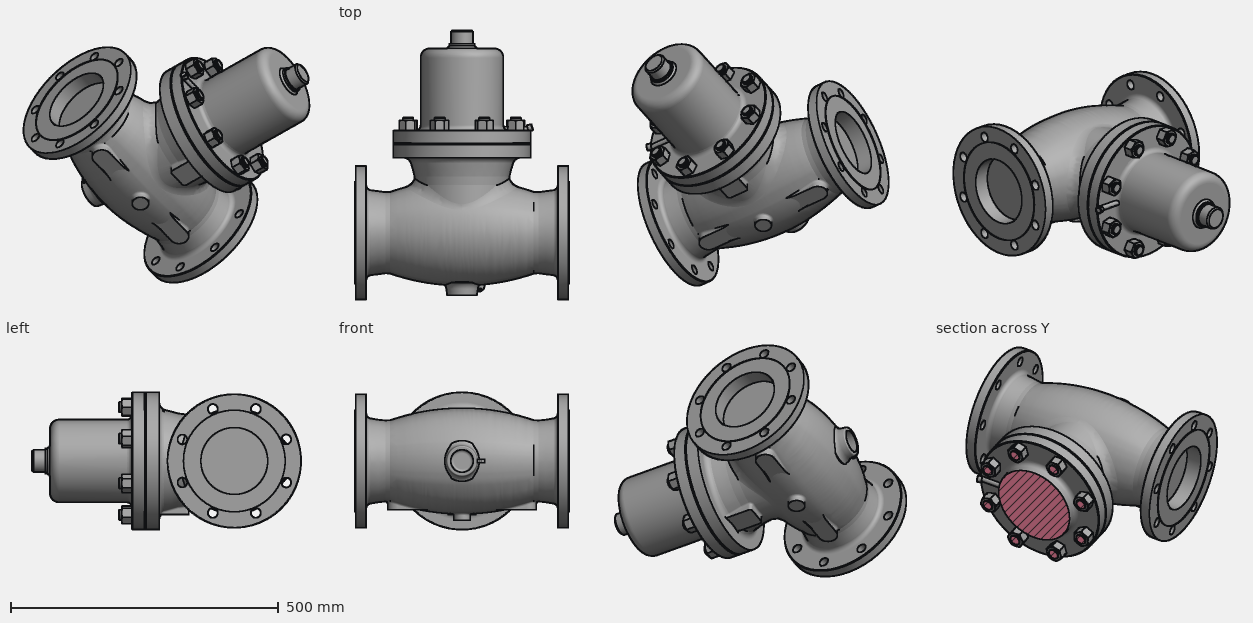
import cadquery as cq
import math

FACE_TO_FACE = 400.0
PIPE_FLANGE_DIAMETER = 250.0
PIPE_FLANGE_THICKNESS = 20.0
PIPE_FLANGE_CHAMFER = 1.3
RAISED_FACE_DIAMETER = 190.0
RAISED_FACE_HEIGHT = 1.5
PIPE_BOLT_CIRCLE = 210.0
PIPE_BOLT_HOLE = 18.0
BOLT_COUNT = 8
FIRST_BOLT_ANGLE = 180.0 / BOLT_COUNT
BORE_DIAMETER = 125.0
BORE_DEPTH = 30.0

BARREL_RADIUS = 99.0
BARREL_HALF_LENGTH = 134.0
BARREL_END_RADIUS = 76.5
WAIST_X = 143.0
WAIST_RADIUS = 76.0
HUB_X = 169.5
HUB_RADIUS = 79.5
HUB_FILLET = 9.0

BRANCH_DIAMETER = 174.0
BRANCH_CYLINDER_END_Y = 120.0
BRANCH_CONE_START_Y = 89.0
BRANCH_CONE_MID_Y = 105.0
BRANCH_CONE_MID_RADIUS = 89.0
BRANCH_CONE_END_Y = 131.0
BRANCH_CONE_END_RADIUS = 96.0
BRANCH_NECK_ARC = 15.0
BRANCH_FLARE_RADIUS = 109.5
BRANCH_FILLET = 26.0

BONNET_FLANGE_DIAMETER = 257.0
LOWER_FLANGE_Y = 140.0
LOWER_FLANGE_THICKNESS = 24.5
GASKET_GAP = 3.0
GASKET_DIAMETER = 190.0
UPPER_FLANGE_THICKNESS = 24.0
FLANGE_EDGE_CHAMFER = 1.5

CAP_DIAMETER = 155.0
CAP_TOP_Y = 344.5
CAP_TOP_FILLET = 17.5
CAP_FOOT_FILLET = 9.0
STEM_DIAMETER = 42.0
STEM_TOP_Y = 378.0
STEM_CHAMFER = 3.0
COLLAR_DIAMETER = 48.0
COLLAR_TOP_Y = 353.0
COLLAR_FOOT_DIAMETER = 56.0

STUD_CIRCLE = 218.0
STUD_DIAMETER = 20.0
STUD_CHAMFER = 1.5
STUD_PROTRUSION = 24.0
NUT_ACROSS_FLATS = 30.0
NUT_HEIGHT = 18.8
NUT_CHAMFER_ANGLE = 30.0
NUT_TWIST = 7.5

VENT_BAR_DIAMETER = 10.0
VENT_BAR_END_X = 124.0
VENT_BAR_AXIS_Y = 193.0
VENT_SCREW_DIAMETER = 12.5
VENT_SCREW_LENGTH = 9.0
VENT_SCREW_TILT = 17.0
VENT_SCREW_FACE_CENTER = (131.3, 197.3)
VENT_SCREW_CHAMFER = 1.0

DRAIN_END_Y = -117.0
DRAIN_BREAK_Y = -105.0
DRAIN_END_RADIUS = 28.0
DRAIN_BREAK_RADIUS = 29.5
DRAIN_FOOT_RADIUS = 38.0
DRAIN_FOOT_Y = -93.0
DRAIN_FOOT_ARC = 15.0
DRAIN_HOLE_DIAMETER = 42.0
DRAIN_HOLE_DEPTH = 18.0
DRAIN_FLOOR_FILLET = 6.0
DRAIN_RIM_FILLET = 2.0
DRAIN_LUG_RADIUS = 12.5
DRAIN_LUG_CENTER = (30.0, -98.0)
DRAIN_LUG_THICKNESS = 6.0
DRAIN_LUG_HOLE = 4.0
DRAIN_LUG_HOLE_CENTER = (34.0, -106.0)

CENTER_BOSS_DIAMETER = 31.0
CENTER_BOSS_BOTTOM_Z = -111.0
LINE_PAD_OUTER_X = 139.0
LINE_PAD_INNER_X = 60.0
LINE_PAD_HALF_WIDTH = 18.0
LINE_PAD_BOTTOM_Z = -91.5
BRANCH_PAD_HALF_WIDTH = 22.0
BRANCH_PAD_START_Y = 85.0
BRANCH_PAD_BOTTOM_Z = -100.0
BRANCH_PAD_CORNER = 5.5
PAD_FOOT_FILLET = 4.0

HALF_LENGTH = FACE_TO_FACE / 2
FLANGE_FACE_X = HALF_LENGTH - RAISED_FACE_HEIGHT
FLANGE_BACK_X = FLANGE_FACE_X - PIPE_FLANGE_THICKNESS
PIPE_FLANGE_RADIUS = PIPE_FLANGE_DIAMETER / 2
GASKET_Y = LOWER_FLANGE_Y + LOWER_FLANGE_THICKNESS
UPPER_FLANGE_Y = GASKET_Y + GASKET_GAP
UPPER_FLANGE_TOP_Y = UPPER_FLANGE_Y + UPPER_FLANGE_THICKNESS


def y_cylinder(diameter, start_y, end_y, x=0.0, z=0.0):
    """Cylinder along +Y whose axis passes through (x, z)."""
    axis_origin = cq.Vector(x, start_y, z)
    solid = cq.Solid.makeCylinder(diameter / 2, end_y - start_y, axis_origin, cq.Vector(0, 1, 0))
    return cq.Workplane(obj=solid)


def polar(circle_diameter, angle):
    """Point on a circle centred on the origin."""
    radius = circle_diameter / 2
    return radius * math.cos(math.radians(angle)), radius * math.sin(math.radians(angle))


def bolt_angles():
    return [FIRST_BOLT_ANGLE + 360.0 / BOLT_COUNT * i for i in range(BOLT_COUNT)]


def make_barrel():
    """Barrel, waists and hubs revolved about X."""
    hub_root_radius = HUB_RADIUS + HUB_FILLET
    outline = (
        cq.Workplane("XY")
        .moveTo(-FLANGE_BACK_X, 0)
        .lineTo(-FLANGE_BACK_X, hub_root_radius)
        .radiusArc((-HUB_X, HUB_RADIUS), -(FLANGE_BACK_X - HUB_X))
        .lineTo(-WAIST_X, WAIST_RADIUS)
        .lineTo(-BARREL_HALF_LENGTH, BARREL_END_RADIUS)
        .threePointArc((0, BARREL_RADIUS), (BARREL_HALF_LENGTH, BARREL_END_RADIUS))
        .lineTo(WAIST_X, WAIST_RADIUS)
        .lineTo(HUB_X, HUB_RADIUS)
        .radiusArc((FLANGE_BACK_X, hub_root_radius), -(FLANGE_BACK_X - HUB_X))
        .lineTo(FLANGE_BACK_X, 0)
        .close()
    )
    return outline.revolve(360, (0, 0, 0), (1, 0, 0))


def make_branch_neck():
    """Widening neck from the branch cylinder to the bonnet flange, revolved about Y."""
    outline = (
        cq.Workplane("XY")
        .moveTo(0, BRANCH_CONE_START_Y)
        .lineTo(BRANCH_DIAMETER / 2, BRANCH_CONE_START_Y)
        .lineTo(BRANCH_CONE_MID_RADIUS, BRANCH_CONE_MID_Y)
        .lineTo(BRANCH_CONE_END_RADIUS, BRANCH_CONE_END_Y)
        .radiusArc((BRANCH_FLARE_RADIUS, LOWER_FLANGE_Y), BRANCH_NECK_ARC)
        .lineTo(0, LOWER_FLANGE_Y)
        .close()
    )
    return outline.revolve(360, (0, 0, 0), (0, 1, 0))


def make_body():
    """Barrel and branch cylinder with a fillet along their saddle-shaped seam, then the neck."""
    branch = y_cylinder(BRANCH_DIAMETER, 0, BRANCH_CYLINDER_END_Y)
    body = make_barrel().union(branch)
    return body.edges("%BSPLINE").fillet(BRANCH_FILLET).union(make_branch_neck())


def make_pipe_flange(side):
    """Pipe flange with raised face; side is -1 or +1 along X."""
    plane = cq.Workplane("YZ", origin=(side * FLANGE_BACK_X, 0, 0))
    disc = plane.circle(PIPE_FLANGE_RADIUS).extrude(side * PIPE_FLANGE_THICKNESS)
    back_face = "<X" if side > 0 else ">X"
    disc = disc.faces(back_face).edges().chamfer(PIPE_FLANGE_CHAMFER)
    holes = plane.polarArray(PIPE_BOLT_CIRCLE / 2, FIRST_BOLT_ANGLE, 360, BOLT_COUNT)
    disc = disc.cut(holes.circle(PIPE_BOLT_HOLE / 2).extrude(side * PIPE_FLANGE_THICKNESS))
    face_plane = cq.Workplane("YZ", origin=(side * FLANGE_FACE_X, 0, 0))
    raised_face = face_plane.circle(RAISED_FACE_DIAMETER / 2).extrude(side * RAISED_FACE_HEIGHT)
    return disc.union(raised_face)


def make_bore(side):
    """Blind pipe bore cut from one flange face."""
    plane = cq.Workplane("YZ", origin=(side * HALF_LENGTH, 0, 0))
    return plane.circle(BORE_DIAMETER / 2).extrude(-side * BORE_DEPTH)


def make_bonnet():
    """Bonnet flange pair, gasket, cap, collar and stem along +Y."""
    lower = y_cylinder(BONNET_FLANGE_DIAMETER, LOWER_FLANGE_Y, GASKET_Y)
    gasket = y_cylinder(GASKET_DIAMETER, GASKET_Y, UPPER_FLANGE_Y)
    upper = y_cylinder(BONNET_FLANGE_DIAMETER, UPPER_FLANGE_Y, UPPER_FLANGE_TOP_Y)
    upper = upper.faces(">Y").edges().chamfer(FLANGE_EDGE_CHAMFER)
    cap = y_cylinder(CAP_DIAMETER, UPPER_FLANGE_TOP_Y, CAP_TOP_Y)
    cap = cap.faces(">Y").edges().fillet(CAP_TOP_FILLET)
    foot = cq.selectors.RadiusNthSelector(0)
    cover = upper.union(cap)
    cover = cover.faces(cq.selectors.NearestToPointSelector((0, UPPER_FLANGE_TOP_Y, CAP_DIAMETER / 2 + 10)))
    cover = cover.edges(foot).fillet(CAP_FOOT_FILLET)
    stem = y_cylinder(STEM_DIAMETER, CAP_TOP_Y, STEM_TOP_Y).faces(">Y").edges().chamfer(STEM_CHAMFER)
    return lower.union(gasket).union(cover).union(make_collar()).union(stem)


def make_collar():
    """Flared collar around the stem foot, revolved about Y."""
    flare_top_y = COLLAR_TOP_Y - (COLLAR_FOOT_DIAMETER - COLLAR_DIAMETER) / 2
    outline = (
        cq.Workplane("XY")
        .moveTo(0, CAP_TOP_Y)
        .lineTo(COLLAR_FOOT_DIAMETER / 2, CAP_TOP_Y)
        .lineTo(COLLAR_DIAMETER / 2, flare_top_y)
        .lineTo(COLLAR_DIAMETER / 2, COLLAR_TOP_Y)
        .lineTo(0, COLLAR_TOP_Y)
        .close()
    )
    return outline.revolve(360, (0, 0, 0), (0, 1, 0))


def make_nut():
    """Hex nut along +Y from the XZ plane, its top corners trimmed by a cone; one corner on +X."""
    corner_radius = NUT_ACROSS_FLATS / 2 / math.cos(math.radians(30))
    prism = cq.Workplane("XZ").polygon(6, 2 * corner_radius).extrude(-NUT_HEIGHT)
    corner_drop = (corner_radius - NUT_ACROSS_FLATS / 2) * math.tan(math.radians(NUT_CHAMFER_ANGLE))
    envelope = (
        cq.Workplane("XY")
        .lineTo(corner_radius, 0)
        .lineTo(corner_radius, NUT_HEIGHT - corner_drop)
        .lineTo(NUT_ACROSS_FLATS / 2, NUT_HEIGHT)
        .lineTo(0, NUT_HEIGHT)
        .close()
        .revolve(360, (0, 0, 0), (0, 1, 0))
    )
    return prism.intersect(envelope)


def make_fastener(angle):
    """Stud end with its nut on the bonnet flange; angle runs from +X toward +Z."""
    stud = y_cylinder(STUD_DIAMETER, 0, STUD_PROTRUSION).faces(">Y").edges().chamfer(STUD_CHAMFER)
    fastener = make_nut().union(stud)
    fastener = fastener.rotate((0, 0, 0), (0, 1, 0), -(angle + NUT_TWIST))
    x, z = polar(STUD_CIRCLE, angle)
    return fastener.translate((x, UPPER_FLANGE_TOP_Y, z))


def make_vent_screw():
    """Half-sunk bar across the bonnet flange, ending in a tilted screw head."""
    bar = cq.Workplane("YZ").center(VENT_BAR_AXIS_Y, 0).circle(VENT_BAR_DIAMETER / 2).extrude(VENT_BAR_END_X)
    tilt = math.radians(VENT_SCREW_TILT)
    face_x, face_y = VENT_SCREW_FACE_CENTER
    head_plane = cq.Plane(
        origin=(face_x, face_y, 0), xDir=(0, 0, 1), normal=(-math.cos(tilt), -math.sin(tilt), 0)
    )
    head = cq.Workplane(head_plane).circle(VENT_SCREW_DIAMETER / 2).extrude(VENT_SCREW_LENGTH)
    return bar.union(head.faces(">X").edges().chamfer(VENT_SCREW_CHAMFER))


def make_drain_boss():
    """Tapered drain boss on -Y with a flared foot sunk into the barrel."""
    outline = (
        cq.Workplane("XY")
        .moveTo(0, -BARREL_RADIUS / 2)
        .lineTo(DRAIN_FOOT_RADIUS, -BARREL_RADIUS / 2)
        .lineTo(DRAIN_FOOT_RADIUS, DRAIN_FOOT_Y)
        .radiusArc((DRAIN_BREAK_RADIUS, DRAIN_BREAK_Y), -DRAIN_FOOT_ARC)
        .lineTo(DRAIN_END_RADIUS, DRAIN_END_Y)
        .lineTo(0, DRAIN_END_Y)
        .close()
    )
    boss = outline.revolve(360, (0, 0, 0), (0, 1, 0))
    return boss.faces("<Y").edges().fillet(DRAIN_RIM_FILLET)


def make_drain_hole():
    """Blind round-cornered hole in the drain boss."""
    hole = y_cylinder(DRAIN_HOLE_DIAMETER, DRAIN_END_Y, DRAIN_END_Y + DRAIN_HOLE_DEPTH)
    return hole.faces(">Y").edges().fillet(DRAIN_FLOOR_FILLET)


def make_drain_lug():
    """Flat round lug with a sealing hole beside the drain boss."""
    plane = cq.Workplane("XY", origin=(0, 0, -DRAIN_LUG_THICKNESS / 2))
    lug = plane.center(*DRAIN_LUG_CENTER).circle(DRAIN_LUG_RADIUS).extrude(DRAIN_LUG_THICKNESS)
    hole = plane.center(*DRAIN_LUG_HOLE_CENTER).circle(DRAIN_LUG_HOLE / 2).extrude(DRAIN_LUG_THICKNESS)
    return lug.cut(hole)


def make_center_boss():
    """Round boss under the middle of the barrel."""
    plane = cq.Workplane("XY", origin=(0, 0, CENTER_BOSS_BOTTOM_Z))
    return plane.circle(CENTER_BOSS_DIAMETER / 2).extrude(-CENTER_BOSS_BOTTOM_Z)


def make_line_pad(side):
    """Pad under one barrel end, its outer end fully rounded; side is -1 or +1 along X."""
    inner_x = side * LINE_PAD_INNER_X
    arc_start_x = side * (LINE_PAD_OUTER_X - LINE_PAD_HALF_WIDTH)
    outline = (
        cq.Workplane("XY", origin=(0, 0, LINE_PAD_BOTTOM_Z))
        .moveTo(inner_x, -LINE_PAD_HALF_WIDTH)
        .lineTo(arc_start_x, -LINE_PAD_HALF_WIDTH)
        .threePointArc((side * LINE_PAD_OUTER_X, 0), (arc_start_x, LINE_PAD_HALF_WIDTH))
        .lineTo(inner_x, LINE_PAD_HALF_WIDTH)
        .close()
    )
    return outline.extrude(BARREL_END_RADIUS / 2)


def make_branch_pad():
    """Pad under the bonnet branch, ending at the bonnet flange."""
    length = LOWER_FLANGE_Y - BRANCH_PAD_START_Y
    plane = cq.Workplane("XY", origin=(0, BRANCH_PAD_START_Y + length / 2, BRANCH_PAD_BOTTOM_Z))
    pad = plane.rect(2 * BRANCH_PAD_HALF_WIDTH, length).extrude(BRANCH_DIAMETER / 4)
    return pad.edges("<Y and |Z").fillet(BRANCH_PAD_CORNER)


def add_center_boss(body):
    """Join the round underside boss and fillet its foot."""
    body = body.union(make_center_boss())
    foot_zone = cq.selectors.BoxSelector(
        (-CENTER_BOSS_DIAMETER / 2, -CENTER_BOSS_DIAMETER / 2, CENTER_BOSS_BOTTOM_Z + 1),
        (CENTER_BOSS_DIAMETER / 2, CENTER_BOSS_DIAMETER / 2, -BARREL_END_RADIUS),
    )
    return body.edges(foot_zone).edges("%BSPLINE").fillet(PAD_FOOT_FILLET)


def add_line_pad(body, side):
    """Join one barrel-end pad and fillet its foot."""
    body = body.union(make_line_pad(side))
    near_x = side * LINE_PAD_INNER_X
    far_x = side * (LINE_PAD_OUTER_X + 1)
    foot_zone = cq.selectors.BoxSelector(
        (near_x, -LINE_PAD_HALF_WIDTH - 1, LINE_PAD_BOTTOM_Z + 1),
        (far_x, LINE_PAD_HALF_WIDTH + 1, -BARREL_END_RADIUS / 2),
    )
    return body.edges(foot_zone).edges("%BSPLINE").fillet(PAD_FOOT_FILLET)


def add_branch_pad(body):
    """Join the pad under the bonnet branch and fillet its foot."""
    body = body.union(make_branch_pad())
    foot_zone = cq.selectors.BoxSelector(
        (-BRANCH_PAD_HALF_WIDTH - 1, BRANCH_PAD_START_Y - 1, BRANCH_PAD_BOTTOM_Z + 1),
        (BRANCH_PAD_HALF_WIDTH + 1, LOWER_FLANGE_Y - 1, -BRANCH_DIAMETER / 2 + 3),
    )
    return body.edges(foot_zone).edges("not(|Z)").fillet(PAD_FOOT_FILLET)


body = add_center_boss(make_body())
for side in (-1, 1):
    body = add_line_pad(body, side)
body = add_branch_pad(body)
body = body.union(make_drain_boss()).union(make_drain_lug()).cut(make_drain_hole())
result = body.union(make_bonnet()).union(make_vent_screw())
for angle in bolt_angles():
    result = result.union(make_fastener(angle))
for side in (-1, 1):
    result = result.union(make_pipe_flange(side)).cut(make_bore(side))